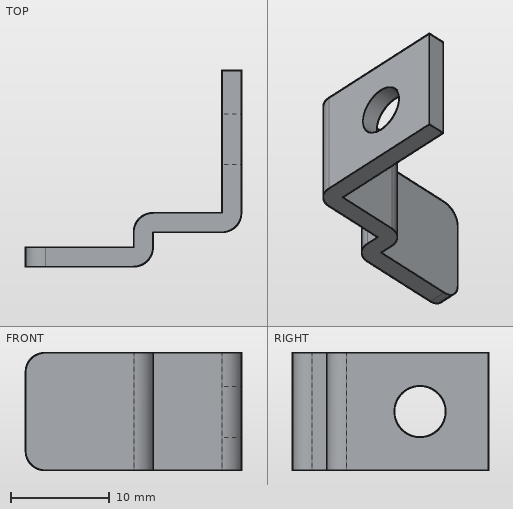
import cadquery as cq

length = 22.0
depth = 20.0
height = 12.0
thickness = 2.0
bend_radius = thickness
corner_radius = 2.0
tab_length = 11.0
step_offset = 3.5
hole_diameter = 5.2
hole_end_distance = 7.0

step_right = tab_length + thickness
web_back = step_offset + thickness
leg_inner = length - thickness


def bent_strip():
    """Stepped sheet profile, extruded along Z, with round outer bends."""
    outline = [
        (0, 0),
        (step_right, 0),
        (step_right, step_offset),
        (length, step_offset),
        (length, depth),
        (leg_inner, depth),
        (leg_inner, web_back),
        (tab_length, web_back),
        (tab_length, thickness),
        (0, thickness),
    ]
    strip = cq.Workplane("XY").polyline(outline).close().extrude(height)
    outer_bends = [(step_right, 0), (length, step_offset), (tab_length, web_back)]
    for x, y in outer_bends:
        bend_edge = cq.selectors.NearestToPointSelector((x, y, height / 2))
        strip = strip.edges("|Z").edges(bend_edge).fillet(bend_radius)
    return strip


def leg_hole():
    """Cutter for the round hole through the rear leg."""
    return (
        cq.Workplane("YZ", origin=(leg_inner, 0, 0))
        .center(depth - hole_end_distance, height / 2)
        .circle(hole_diameter / 2)
        .extrude(thickness)
    )


bracket = bent_strip()
bracket = bracket.faces("<X").edges("|Y").fillet(corner_radius)
result = bracket.cut(leg_hole())